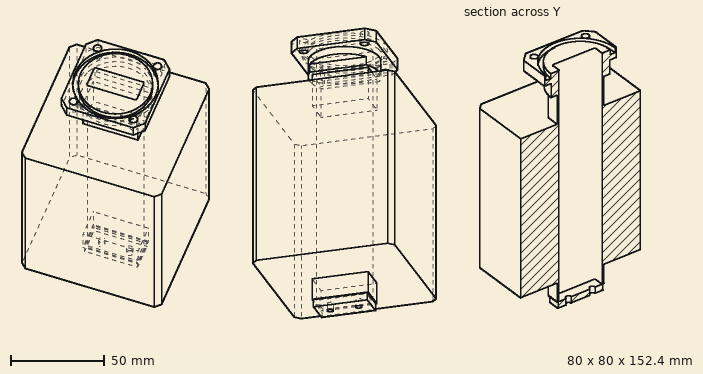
import cadquery as cq

housing_side = 80.0
housing_chamfer = 3.0
housing_height = 102.1

tube_x, tube_y = 31.5, 15.8
tube_above = 18.3
tube_below = 12.0

cap_inset = 0.6
cap_height = 4.3

flange_side = 47.9
flange_chamfer = 4.9
flange_height = 6.7
collar_diameter = 39.2
collar_round_height = 4.3
collar_flat_height = 4.7
collar_flat_width = 22.7

groove_outer_diameter = 45.9
groove_inner_diameter = 40.0
groove_depth = 3.0
screw_diameter = 4.4
screw_spacing_x, screw_spacing_y = 34.3, 37.3

cavity_x, cavity_y = 28.5, 12.5
cavity_corner_radius = 0.9
pin_hole_diameter = 3.4
pin_hole_spacing = 16.0

tube_bottom = cap_height
housing_bottom = tube_bottom + tube_below
housing_top = housing_bottom + housing_height
collar_bottom = housing_top + tube_above
round_bottom = collar_bottom + collar_flat_height
flange_bottom = round_bottom + collar_round_height
flange_top = flange_bottom + flange_height


def block(size_x, size_y, bottom, top):
    """Centred rectangular block between two levels."""
    return cq.Workplane("XY").workplane(offset=bottom).rect(size_x, size_y).extrude(top - bottom)


def cylinder(diameter, bottom, top):
    """Centred vertical cylinder between two levels."""
    return cq.Workplane("XY").workplane(offset=bottom).circle(diameter / 2).extrude(top - bottom)


def make_collar():
    """Round collar whose lower step is cut to two parallel flats."""
    lower = cylinder(collar_diameter, collar_bottom, round_bottom)
    flats = block(collar_diameter, collar_flat_width, collar_bottom, round_bottom)
    return cylinder(collar_diameter, round_bottom, flange_bottom).union(lower.intersect(flats))


def make_flange():
    """Chamfered square flange with a seal groove and four screw holes."""
    plate = block(flange_side, flange_side, flange_bottom, flange_top)
    plate = plate.edges("|Z").chamfer(flange_chamfer)
    groove_bottom = flange_top - groove_depth
    groove = cylinder(groove_outer_diameter, groove_bottom, flange_top)
    groove = groove.cut(cylinder(groove_inner_diameter, groove_bottom, flange_top))
    screw_holes = (
        cq.Workplane("XY")
        .workplane(offset=flange_bottom)
        .rect(screw_spacing_x, screw_spacing_y, forConstruction=True)
        .vertices()
        .circle(screw_diameter / 2)
        .extrude(flange_height)
    )
    return plate.cut(groove).cut(screw_holes)


def make_bore():
    """Deep rounded rectangular cavity and the pin holes through the end cap."""
    cavity = block(cavity_x, cavity_y, tube_bottom, flange_top)
    cavity = cavity.edges("|Z").fillet(cavity_corner_radius)
    pin_holes = (
        cq.Workplane("XY")
        .rarray(pin_hole_spacing, 1.5, 2, 1)
        .circle(pin_hole_diameter / 2)
        .extrude(tube_bottom)
    )
    return cavity.union(pin_holes)


housing = block(housing_side, housing_side, housing_bottom, housing_top)
housing = housing.edges("|Z").chamfer(housing_chamfer)
tube = block(tube_x, tube_y, tube_bottom, collar_bottom)
cap = block(tube_x - 2 * cap_inset, tube_y - 2 * cap_inset, 0, tube_bottom)

body = housing.union(tube).union(cap).union(make_collar()).union(make_flange())
result = body.cut(make_bore())